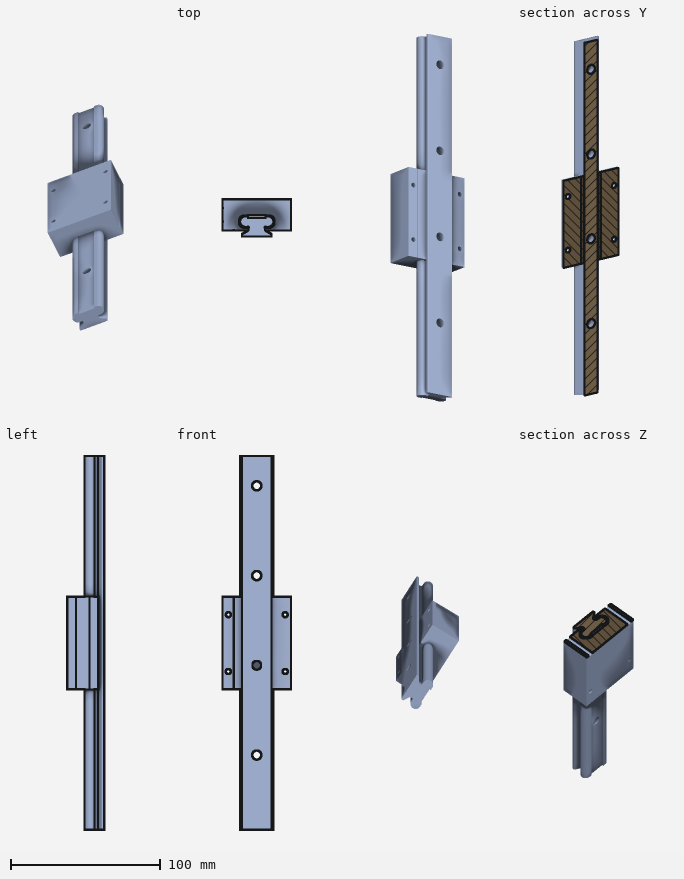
import cadquery as cq
import math

RAIL_LENGTH = 250.0
BASE_HALF_WIDTH = 10.0
BASE_EDGE_RADIUS = 0.4
NECK_HALF_WIDTH = 5.5
NECK_START_Y = 4.2
NECK_SLOPE_ANGLE = 30.0
NECK_FILLET_RADIUS = 0.5
HEAD_HALF_WIDTH = 11.2
HEAD_RADIUS = 3.5
HEAD_TOP_Y = 13.5
RECESS_HALF_WIDTH = 5.8
RECESS_DEPTH = 1.0
RAIL_HOLE_DIAMETER = 6.0
RAIL_HOLE_COUNT = 4
RAIL_HOLE_PITCH = 60.0
RAIL_HOLE_END_DISTANCE = 20.0

CARRIAGE_WIDTH = 46.0
CARRIAGE_LENGTH = 62.0
CARRIAGE_CENTRE_Z = -0.15
CARRIAGE_FRONT_Y = 4.0
CARRIAGE_BACK_Y = 25.0
CARRIAGE_HOLE_DIAMETER = 3.2
CARRIAGE_HOLE_SPACING = 38.0

GROOVE_WIDTH = 0.2
GROOVE_DEPTH = 0.2
SIDE_GROOVE_SPACING = 9.0
FRONT_GROOVE_EDGE_DISTANCE = 7.5

LINER_THICKNESS = 0.8

HEAD_CENTRE_Y = HEAD_TOP_Y - HEAD_RADIUS
HEAD_BOTTOM_Y = HEAD_CENTRE_Y - HEAD_RADIUS
NECK_SLOPE_RISE = (BASE_HALF_WIDTH - NECK_HALF_WIDTH) * math.tan(math.radians(NECK_SLOPE_ANGLE))
BASE_THICKNESS = NECK_START_Y - NECK_SLOPE_RISE
CARRIAGE_MID_Y = (CARRIAGE_FRONT_Y + CARRIAGE_BACK_Y) / 2
HEAD_UNDERSIDE_X = NECK_HALF_WIDTH + NECK_FILLET_RADIUS


def block(x_min, x_max, y_min, y_max, length):
    """Box between the given X and Y limits, centred on Z = 0."""
    return (
        cq.Workplane("XY")
        .box(x_max - x_min, y_max - y_min, length)
        .translate(((x_min + x_max) / 2, (y_min + y_max) / 2, 0))
    )


def round_ended_bar(growth, length):
    """Bar with the rail head's stadium section, grown outwards and centred on Z = 0."""
    width = 2 * (HEAD_HALF_WIDTH + growth)
    height = 2 * (HEAD_RADIUS + growth)
    return (
        cq.Workplane("XY", origin=(0, HEAD_CENTRE_Y, -length / 2))
        .slot2D(width, height)
        .extrude(length)
    )


def holes_along_y(points, diameter):
    """Through cutters along Y at the given (X, Z) points."""
    return (
        cq.Workplane("XZ")
        .pushPoints(points)
        .circle(diameter / 2)
        .extrude(CARRIAGE_BACK_Y, both=True)
    )


def rail_foot():
    """Base and flared neck of the rail, up to the middle of its head."""
    foot = (
        cq.Workplane("XY", origin=(0, 0, -RAIL_LENGTH / 2))
        .moveTo(0, 0)
        .lineTo(BASE_HALF_WIDTH, 0)
        .lineTo(BASE_HALF_WIDTH, BASE_THICKNESS)
        .lineTo(NECK_HALF_WIDTH, NECK_START_Y)
        .lineTo(NECK_HALF_WIDTH, HEAD_BOTTOM_Y - NECK_FILLET_RADIUS)
        .radiusArc((HEAD_UNDERSIDE_X, HEAD_BOTTOM_Y), NECK_FILLET_RADIUS)
        .lineTo(HEAD_UNDERSIDE_X, HEAD_CENTRE_Y)
        .lineTo(0, HEAD_CENTRE_Y)
        .mirrorY()
        .extrude(RAIL_LENGTH)
    )
    return foot.edges("|Z and (>X or <X)").fillet(BASE_EDGE_RADIUS)


def make_rail():
    recess = block(
        -RECESS_HALF_WIDTH, RECESS_HALF_WIDTH, HEAD_TOP_Y - RECESS_DEPTH, CARRIAGE_BACK_Y, RAIL_LENGTH
    )
    top_hole_z = RAIL_LENGTH / 2 - RAIL_HOLE_END_DISTANCE
    hole_points = [(0, top_hole_z - i * RAIL_HOLE_PITCH) for i in range(RAIL_HOLE_COUNT)]
    return (
        round_ended_bar(0, RAIL_LENGTH)
        .union(rail_foot())
        .cut(recess)
        .cut(holes_along_y(hole_points, RAIL_HOLE_DIAMETER))
    )


def make_carriage():
    half_width = CARRIAGE_WIDTH / 2
    body = block(-half_width, half_width, CARRIAGE_FRONT_Y, CARRIAGE_BACK_Y, CARRIAGE_LENGTH)

    body = body.cut(round_ended_bar(LINER_THICKNESS, CARRIAGE_LENGTH))
    body = body.cut(rail_foot())

    half_spacing = CARRIAGE_HOLE_SPACING / 2
    hole_points = [(x, z) for x in (-half_spacing, half_spacing) for z in (-half_spacing, half_spacing)]
    body = body.cut(holes_along_y(hole_points, CARRIAGE_HOLE_DIAMETER))

    for y in (CARRIAGE_MID_Y - SIDE_GROOVE_SPACING / 2, CARRIAGE_MID_Y + SIDE_GROOVE_SPACING / 2):
        side_groove = block(
            -half_width,
            -half_width + GROOVE_DEPTH,
            y - GROOVE_WIDTH / 2,
            y + GROOVE_WIDTH / 2,
            CARRIAGE_LENGTH,
        )
        body = body.cut(side_groove)
    front_groove_x = -half_width + FRONT_GROOVE_EDGE_DISTANCE
    front_groove = block(
        front_groove_x - GROOVE_WIDTH / 2,
        front_groove_x + GROOVE_WIDTH / 2,
        CARRIAGE_FRONT_Y,
        CARRIAGE_FRONT_Y + GROOVE_DEPTH,
        CARRIAGE_LENGTH,
    )
    return body.cut(front_groove)


def make_liner(side):
    """C-shaped strip that hugs the -X (side = -1) or +X (side = 1) edge of the rail head."""
    shell = round_ended_bar(LINER_THICKNESS, CARRIAGE_LENGTH).cut(round_ended_bar(0, CARRIAGE_LENGTH))
    x_limits = sorted((side * HEAD_UNDERSIDE_X, side * CARRIAGE_WIDTH / 2))
    return shell.intersect(block(*x_limits, 0, CARRIAGE_BACK_Y, CARRIAGE_LENGTH))


rail = make_rail()
carriage = make_carriage().translate((0, 0, CARRIAGE_CENTRE_Z))
liners = [make_liner(side).translate((0, 0, CARRIAGE_CENTRE_Z)) for side in (-1, 1)]

result = cq.Compound.makeCompound(
    [rail.val(), carriage.val(), *[liner.val() for liner in liners]]
)